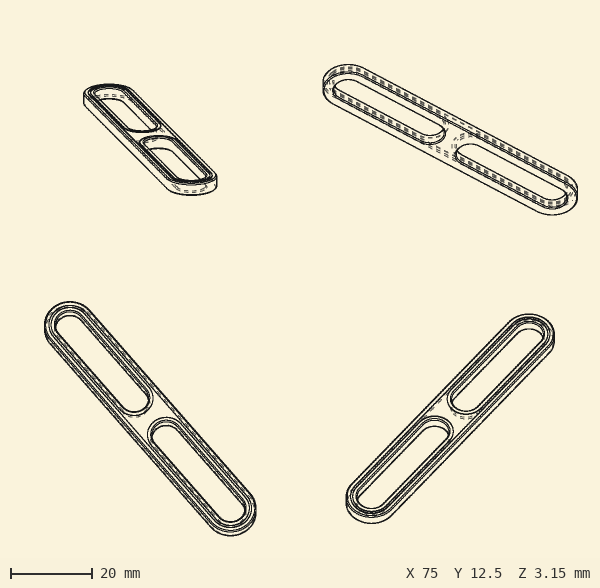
import cadquery as cq

length = 75.0
module_count = 6
width = length / module_count
thickness = 3.15
bar_center_span = length - width

slot_width = 7.05
slot_inner_center = width / 2
slot_outer_center = bar_center_span / 2
slot_center_span = slot_outer_center - slot_inner_center
slot_mid_x = (slot_inner_center + slot_outer_center) / 2
slot_positions = (-slot_mid_x, slot_mid_x)

edge_chamfer = 0.3

recess_width = 10.3
collar_width = 9.2
recess_depth = 0.2
recess_floor = thickness - recess_depth


def stadium(center_span, stadium_width, bottom, height, center_x=0.0):
    """Solid lying along X with straight sides and semicircular ends."""
    return (
        cq.Workplane("XY", origin=(center_x, 0, bottom))
        .slot2D(center_span + stadium_width, stadium_width)
        .extrude(height)
    )


def slotted_bar():
    """Bar with two through slots and every top and bottom edge chamfered."""
    bar = stadium(bar_center_span, width, 0, thickness)
    for center_x in slot_positions:
        bar = bar.cut(stadium(slot_center_span, slot_width, 0, thickness, center_x))
    return bar.faces("<Z or >Z").edges().chamfer(edge_chamfer)


def recess_cutter():
    """Recess inside the outer rim that leaves the slot collars standing."""
    recess = stadium(bar_center_span, recess_width, recess_floor, recess_depth)
    for center_x in slot_positions:
        collar = stadium(slot_center_span, collar_width, recess_floor, recess_depth, center_x)
        recess = recess.cut(collar)
    return recess


result = slotted_bar().cut(recess_cutter())